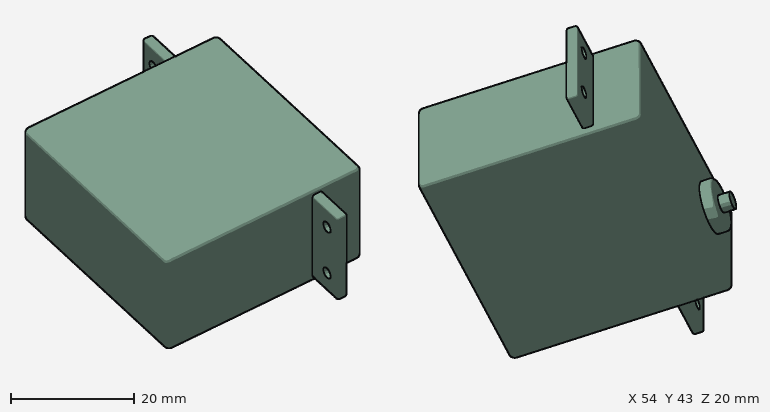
import cadquery as cq

case_width = 40.0
case_depth = 39.0
case_height = 20.0
case_fillet = 1.0

plate_width = 54.0
plate_thickness = 2.0
plate_height = 18.0
plate_fillet = 0.5
plate_setback = 8.0

hole_diameter = 2.0
hole_spacing_x = 48.0
hole_spacing_z = 10.0

shaft_x = -10.0
boss_diameter = 9.0
boss_length = 2.0
boss_fillet = 0.5
shaft_diameter = 3.0
shaft_length = 2.0


def rounded_box(width, depth, height, radius, center_y):
    """Box with every edge rounded."""
    box = cq.Workplane("XY").box(width, depth, height)
    return box.edges().fillet(radius).translate((0, center_y, 0))


def cylinder_along_y(diameter, start_y, length):
    """Cylinder on the output axis, growing toward +Y."""
    plane = cq.Plane(origin=(shaft_x, start_y, 0), xDir=(1, 0, 0), normal=(0, 1, 0))
    return cq.Workplane(plane).circle(diameter / 2).extrude(length)


def mounting_plate():
    """Rounded plate with a pair of holes in each ear."""
    center_y = case_depth - plate_setback - plate_thickness / 2
    plate = rounded_box(plate_width, plate_thickness, plate_height, plate_fillet, center_y)
    holes = (
        cq.Workplane("XZ")
        .rarray(hole_spacing_x, hole_spacing_z, 2, 2)
        .circle(hole_diameter / 2)
        .extrude(-case_depth)
    )
    return plate.cut(holes)


def output_shaft():
    """Boss with a rounded rim, carrying the narrower shaft."""
    boss = cylinder_along_y(boss_diameter, case_depth, boss_length)
    boss = boss.faces(">Y").edges().fillet(boss_fillet)
    shaft = cylinder_along_y(shaft_diameter, case_depth, boss_length + shaft_length)
    return boss.union(shaft)


case = rounded_box(case_width, case_depth, case_height, case_fillet, case_depth / 2)
result = case.union(mounting_plate()).union(output_shaft())